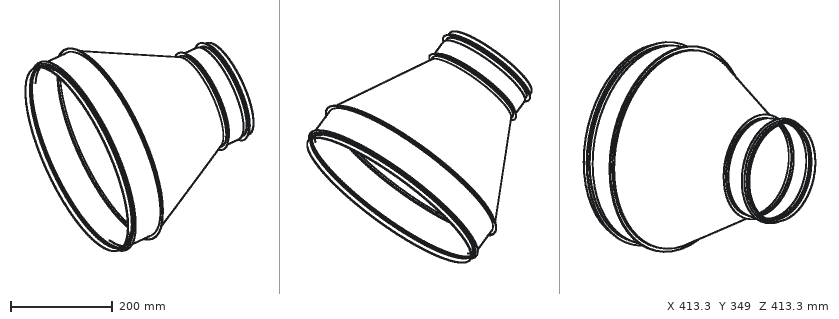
import cadquery as cq

LENGTH = 349.0
WALL = 0.5

WIDE_DIA = 399.0
WIDE_GROOVE_DIA = 395.0
WIDE_FLANGE_DIA = 413.3
WIDE_FLANGE_POS = 75.5

NARROW_DIA = 200.0
NARROW_GROOVE_DIA = 194.2
SOCKET_DIA = 198.0
SOCKET_TAPER_START = 49.5
SOCKET_TAPER_END = 55.8
SOCKET_END = 57.0

WIDE_FLOOR_START = 9.5
WIDE_FLOOR_END = 21.5
NARROW_FLOOR_START = 8.5
NARROW_FLOOR_END = 21.0
BEND_RUN = 3.5

MOUTH_RUN = 1.2
MOUTH_INSET = 0.5

CONE_FLANGE_DIA = 411.5
FLANGE_WIDTH = 1.2
CONE_WIDE_END = 81.0
CONE_NARROW_END = LENGTH - 69.0
SPIGOT_DIA = SOCKET_DIA - 2 * WALL
SPIGOT_TIP = LENGTH - SOCKET_TAPER_END
BEAD_DIA = 210.8
BEAD_POS = LENGTH - 62.5

GASKET_BASE = 0.6
LIP_WIDTH = 1.2
TALL_LIP_POS = 15.0
SLANTED_LIP_TIP = 10.7
WIDE_TALL_LIP_DIA = 409.0
WIDE_SLANTED_LIP_DIA = 403.5
NARROW_TALL_LIP_DIA = 210.8
NARROW_SLANTED_LIP_DIA = 204.0


def spin(outline):
    """Revolve a closed outline, drawn as X = radius, about the Y axis."""
    return outline.revolve(360, (0, 0, 0), (0, 1, 0))


def ring(inner_dia, outer_dia, start, width):
    """Flat ring that begins at y = start."""
    end = start + width
    inner = inner_dia / 2
    outer = outer_dia / 2
    corners = [(inner, start), (outer, start), (outer, end), (inner, end)]
    return spin(cq.Workplane("XY").polyline(corners).close())


def groove_bend(outline, start, end):
    """Add an S-bend of two equal tangent arcs between two points."""
    middle = ((start[0] + end[0]) / 2, (start[1] + end[1]) / 2)
    return outline.tangentArcPoint(middle, relative=False).tangentArcPoint(end, relative=False)


def collar_core(dia, groove_dia, floor_start, floor_end, tail, depth):
    """Solid bounded by the collar's surface that lies `depth` under its outer face.

    The mouth is at y = 0, and `tail` lists the (radius, y) points after the groove.
    """
    rim = dia / 2 - depth
    floor = groove_dia / 2 - depth
    entry = (rim, floor_start - BEND_RUN - depth)
    floor_first = (floor, floor_start - depth)
    floor_last = (floor, floor_end + depth)
    leave = (rim, floor_end + BEND_RUN + depth)
    outline = cq.Workplane("XY").lineTo(rim - MOUTH_INSET, 0).lineTo(rim, MOUTH_RUN).lineTo(*entry)
    outline = groove_bend(outline, entry, floor_first).lineTo(*floor_last)
    outline = groove_bend(outline, floor_last, leave)
    for radius, y in tail:
        outline = outline.lineTo(radius - depth, y)
    return spin(outline.lineTo(0, tail[-1][1]).close())


def grooved_collar(dia, groove_dia, floor_start, floor_end, tail):
    """Sheet-metal collar with one gasket groove near its mouth at y = 0."""
    outside = collar_core(dia, groove_dia, floor_start, floor_end, tail, 0)
    return outside.cut(collar_core(dia, groove_dia, floor_start, floor_end, tail, WALL))


def flip_end(body):
    """Turn a body built with its mouth at y = 0 so that its mouth is at y = LENGTH."""
    return body.mirror("XZ").translate((0, LENGTH, 0))


def make_wide_collar():
    tail = [(WIDE_DIA / 2, WIDE_FLANGE_POS)]
    tube = grooved_collar(WIDE_DIA, WIDE_GROOVE_DIA, WIDE_FLOOR_START, WIDE_FLOOR_END, tail)
    flange_start = WIDE_FLANGE_POS - FLANGE_WIDTH
    flange = ring(WIDE_DIA - 2 * WALL, WIDE_FLANGE_DIA, flange_start, FLANGE_WIDTH)
    return tube.union(flange)


def make_narrow_collar():
    """Grooved collar whose inner end tapers to a socket for the cone's spigot."""
    tail = [
        (NARROW_DIA / 2, SOCKET_TAPER_START),
        (SOCKET_DIA / 2, SOCKET_TAPER_END),
        (SOCKET_DIA / 2, SOCKET_END),
    ]
    collar = grooved_collar(
        NARROW_DIA, NARROW_GROOVE_DIA, NARROW_FLOOR_START, NARROW_FLOOR_END, tail
    )
    return flip_end(collar)


def make_cone():
    """Cone with a flanged wide end and a beaded spigot that fits in the narrow collar."""
    outer = [
        (WIDE_DIA / 2, WIDE_FLANGE_POS),
        (WIDE_DIA / 2, CONE_WIDE_END),
        (SPIGOT_DIA / 2, CONE_NARROW_END),
        (SPIGOT_DIA / 2, SPIGOT_TIP),
    ]
    inner = [(radius - WALL, y) for radius, y in outer]
    shell = spin(cq.Workplane("XY").polyline(outer + inner[::-1]).close())
    flange = ring(WIDE_DIA - 2 * WALL, CONE_FLANGE_DIA, WIDE_FLANGE_POS, FLANGE_WIDTH)
    bead = ring(SPIGOT_DIA - 2 * WALL, BEAD_DIA, BEAD_POS - FLANGE_WIDTH / 2, FLANGE_WIDTH)
    return shell.union(flange).union(bead)


def make_gasket(groove_dia, floor_start, tall_lip_dia, slanted_lip_dia):
    """Band on the groove floor with an upright lip and a lip that slants up from the mouth side."""
    seat = groove_dia / 2
    band = seat + GASKET_BASE
    slanted = slanted_lip_dia / 2
    slanted_back = SLANTED_LIP_TIP + LIP_WIDTH / 2
    tall = tall_lip_dia / 2
    tall_start = TALL_LIP_POS - LIP_WIDTH / 2
    tall_end = tall_start + LIP_WIDTH
    section = [
        (seat, floor_start),
        (band, floor_start),
        (slanted, slanted_back - LIP_WIDTH),
        (slanted, slanted_back),
        (band, slanted_back),
        (band, tall_start),
        (tall, tall_start),
        (tall, tall_end),
        (seat, tall_end),
    ]
    return spin(cq.Workplane("XY").polyline(section).close())


wide_collar = make_wide_collar()
narrow_collar = make_narrow_collar()
cone = make_cone()
wide_gasket = make_gasket(
    WIDE_GROOVE_DIA, WIDE_FLOOR_START, WIDE_TALL_LIP_DIA, WIDE_SLANTED_LIP_DIA
)
narrow_gasket = flip_end(make_gasket(
    NARROW_GROOVE_DIA, NARROW_FLOOR_START, NARROW_TALL_LIP_DIA, NARROW_SLANTED_LIP_DIA
))

result = cq.Compound.makeCompound([
    wide_collar.val(),
    narrow_collar.val(),
    cone.val(),
    wide_gasket.val(),
    narrow_gasket.val(),
])